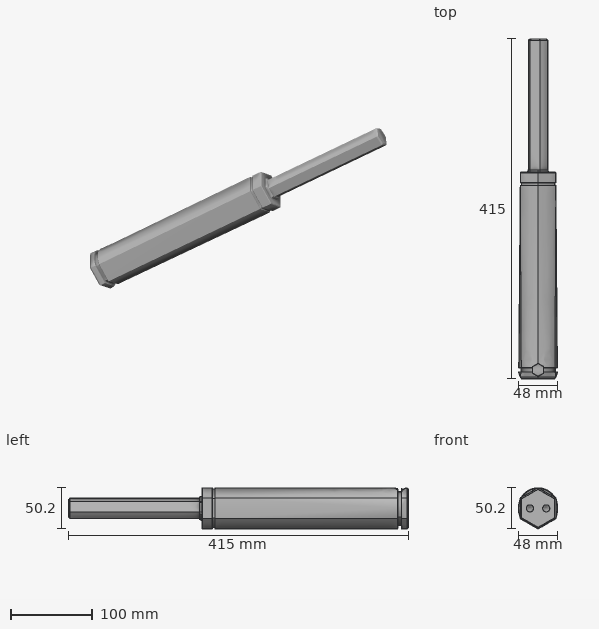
import cadquery as cq
import math

SHAFT_TIP = 207.5
BUSHING_FRONT = 47.7
COLLAR_FRONT = 45.0
COLLAR_REAR = 31.5
HOUSING_FRONT = 28.5
HOUSING_REAR = -194.5
CAP_REAR = -199.0
CAP_RIM = -205.5
END_FACE = -207.5

GRIP_RADIUS = 25.1
END_FACE_RADIUS = 23.2
RING_RADIUS = 23.5
COLLAR_CHAMFER = 1.0

SHAFT_RADIUS = 12.65
SHAFT_TURN = 10.0
SHAFT_TIP_CHAMFER = 1.5

BUSHING_TIP_RADIUS = 13.5
BUSHING_BASE_RADIUS = 15.0

HOUSING_HALF_WIDTH = 23.5
CAP_HALF_WIDTH = 24.0
NECK_RADIUS = 21.0

HOUSING_END_CHAMFER = 1.0

HOLE_DIAMETER = 8.7
HOLE_SPACING = 20.0
HOLE_DEPTH = 2.0
DRILL_POINT_ANGLE = 118.0

PLUG_RADIUS = 8.0
PLUG_Y = -196.7
PLUG_TOP = 20.8
PLUG_BOTTOM = 12.5


def plane_at(y):
    """Plane across the axis at y, with local x along X and local y along Z, extruding to -Y."""
    return cq.Workplane("XZ", origin=(0, y, 0))


def hexagon_corners(radius, turn=0.0):
    """Corners of a hexagon, clockwise from the top corner."""
    angles = [math.radians(90 - turn - 60 * i) for i in range(6)]
    return [(radius * math.cos(a), radius * math.sin(a)) for a in angles]


def hexagon_wire(y, radius):
    return plane_at(y).polyline(hexagon_corners(radius)).close().wires().val()


def rounded_wire(y, half_width, height):
    """Outline with an elliptical top and sides over a V of two flat lower flanks."""

    def rim(degrees):
        angle = math.radians(degrees)
        return (half_width * math.cos(angle), height * math.sin(angle))

    outline = plane_at(y).moveTo(*rim(90))
    for start in (90, 30):
        outline = outline.threePointArc(rim(start - 30), rim(start - 60))
    outline = outline.lineTo(*rim(-90)).lineTo(*rim(-150))
    for start in (210, 150):
        outline = outline.threePointArc(rim(start - 30), rim(start - 60))
    return outline.wire().val()


def loft(first, second):
    return cq.Workplane(cq.Solid.makeLoft([first, second], True))


def hexagon_bar(front, rear, radius, turn=0.0):
    return plane_at(front).polyline(hexagon_corners(radius, turn)).close().extrude(front - rear)


def make_shaft():
    shaft = hexagon_bar(SHAFT_TIP, HOUSING_FRONT, SHAFT_RADIUS, SHAFT_TURN)
    return shaft.faces(">Y").chamfer(SHAFT_TIP_CHAMFER)


def make_bushing(shaft):
    bushing = loft(
        hexagon_wire(BUSHING_FRONT, BUSHING_TIP_RADIUS),
        hexagon_wire(COLLAR_FRONT, BUSHING_BASE_RADIUS),
    )
    return bushing.cut(shaft)


def make_collar(shaft):
    collar = hexagon_bar(COLLAR_FRONT, COLLAR_REAR, GRIP_RADIUS)
    return collar.faces("<Y or >Y").chamfer(COLLAR_CHAMFER).cut(shaft)


def make_ring(shaft):
    return hexagon_bar(COLLAR_REAR, HOUSING_FRONT, RING_RADIUS).cut(shaft)


def hexagon_plug(top):
    """Upright hexagon prism from the plug bottom, with corners toward +Y and -Y."""
    return (
        cq.Workplane("XY", origin=(0, PLUG_Y, PLUG_BOTTOM))
        .polyline(hexagon_corners(PLUG_RADIUS))
        .close()
        .extrude(top - PLUG_BOTTOM)
    )


def make_housing(plug_pocket):
    housing = loft(
        hexagon_wire(HOUSING_FRONT, GRIP_RADIUS),
        rounded_wire(HOUSING_REAR, HOUSING_HALF_WIDTH, GRIP_RADIUS),
    )
    return housing.faces("<Y").chamfer(HOUSING_END_CHAMFER).cut(plug_pocket)


def blind_hole(x):
    """Drilled hole in the end face with a conical bottom."""
    radius = HOLE_DIAMETER / 2
    point_depth = radius / math.tan(math.radians(DRILL_POINT_ANGLE / 2))
    inward = cq.Vector(0, 1, 0)
    shank = cq.Solid.makeCylinder(radius, HOLE_DEPTH, cq.Vector(x, END_FACE, 0), inward)
    point = cq.Solid.makeCone(
        radius, 0, point_depth, cq.Vector(x, END_FACE + HOLE_DEPTH, 0), inward
    )
    return cq.Workplane(shank).union(cq.Workplane(point))


def make_end_cap(plug_pocket):
    neck = loft(
        rounded_wire(HOUSING_REAR, NECK_RADIUS, NECK_RADIUS),
        rounded_wire(CAP_REAR, NECK_RADIUS, NECK_RADIUS),
    )
    flange = loft(
        rounded_wire(CAP_REAR, CAP_HALF_WIDTH, GRIP_RADIUS),
        hexagon_wire(CAP_RIM, GRIP_RADIUS),
    )
    bevel = loft(hexagon_wire(CAP_RIM, GRIP_RADIUS), hexagon_wire(END_FACE, END_FACE_RADIUS))
    cap = neck.union(flange).union(bevel).cut(plug_pocket)
    for side in (-1, 1):
        cap = cap.cut(blind_hole(side * HOLE_SPACING / 2))
    return cap


shaft = make_shaft()
bushing = make_bushing(shaft)
collar = make_collar(shaft)
ring = make_ring(shaft)
plug = hexagon_plug(PLUG_TOP)
plug_pocket = hexagon_plug(GRIP_RADIUS)
housing = make_housing(plug_pocket)
end_cap = make_end_cap(plug_pocket)

bodies = [shaft, bushing, collar, ring, housing, end_cap, plug]
result = cq.Compound.makeCompound([body.solids().val() for body in bodies])